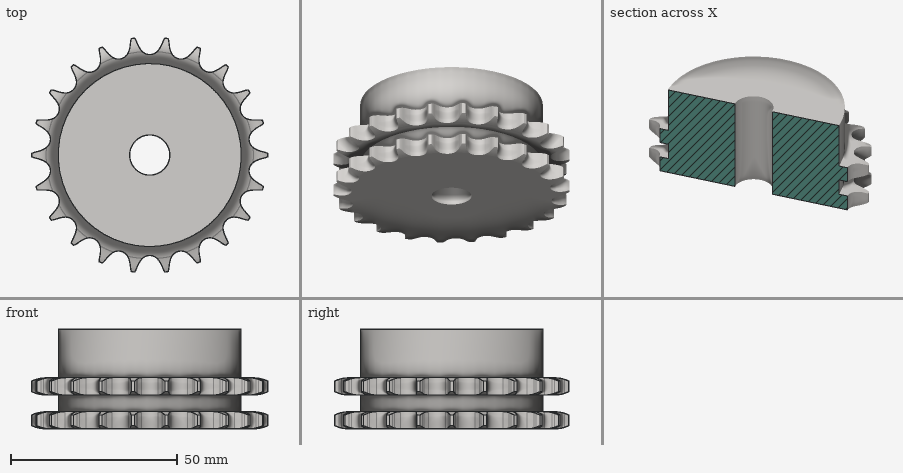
import cadquery as cq
import math


chain_pitch = 9.525
roller_diameter = 6.35
row_spacing = 10.2
row_count = 2

tooth_count = 22
outer_diameter = 71.0
plate_thickness = 5.2
hub_diameter = 55.0
bore_diameter = 12.0
total_height = 30.0

relief_start_radius = 31.15
relief_radius = 10.0

inch = 25.4
form_clearance = 0.0015 * inch
seat_radius = 0.5025 * roller_diameter + form_clearance
working_radius = 1.3025 * roller_diameter + form_clearance
seat_angle = math.radians(35 + 60 / tooth_count)
working_angle = math.radians(18 - 56 / tooth_count)
tip_angle = math.radians(17 - 64 / tooth_count)
flank_length = roller_diameter * (1.4 * math.sin(tip_angle) - 0.8 * math.sin(working_angle))
tip_reach = 0.8 * math.cos(working_angle) + 1.4 * math.cos(tip_angle)
tip_radius = roller_diameter * tip_reach - working_radius

half_tooth_angle = math.pi / tooth_count
pitch_radius = chain_pitch / (2 * math.sin(half_tooth_angle))
outer_radius = outer_diameter / 2


def on_arc(center, radius, angle):
    """Point on a circle, with the angle measured from +X."""
    return (center[0] + radius * math.cos(angle), center[1] + radius * math.sin(angle))


def mirrored(point):
    """Reflect a point in the centre line of the gap, which lies along X."""
    return (point[0], -point[1])


def tooth_gap():
    """Cutter for the gap centred on +X, reaching past the tooth tips."""
    seat_normal = math.pi / 2 + seat_angle
    flank_normal = seat_normal - working_angle

    seat_center = (pitch_radius, 0)
    seat_bottom = (pitch_radius - seat_radius, 0)
    seat_end = on_arc(seat_center, seat_radius, seat_normal)
    working_center = on_arc(seat_end, -working_radius, seat_normal)
    working_mid = on_arc(working_center, working_radius, (seat_normal + flank_normal) / 2)
    working_end = on_arc(working_center, working_radius, flank_normal)
    flank_end = on_arc(working_end, flank_length, flank_normal - math.pi / 2)

    tip_center = on_arc(flank_end, tip_radius, flank_normal)
    center_angle = math.atan2(tip_center[1], tip_center[0]) - half_tooth_angle
    center_distance = math.hypot(*tip_center)
    center_offset = center_distance * math.sin(center_angle)
    apex_radius = center_distance * math.cos(center_angle) + math.sqrt(tip_radius**2 - center_offset**2)
    apex = on_arc((0, 0), apex_radius, half_tooth_angle)
    apex_normal = math.atan2(apex[1] - tip_center[1], apex[0] - tip_center[0])
    tip_start_normal = flank_normal - math.pi
    tip_mid = on_arc(tip_center, tip_radius, (tip_start_normal + apex_normal) / 2)

    return (
        cq.Workplane("XY")
        .moveTo(*mirrored(apex))
        .threePointArc(mirrored(tip_mid), mirrored(flank_end))
        .lineTo(*mirrored(working_end))
        .threePointArc(mirrored(working_mid), mirrored(seat_end))
        .threePointArc(seat_bottom, seat_end)
        .threePointArc(working_mid, working_end)
        .lineTo(*flank_end)
        .threePointArc(tip_mid, apex)
        .close()
        .extrude(plate_thickness)
    )


def relief_depth(radius):
    """Axial depth of the side relief at a given distance from the axis."""
    return relief_radius - math.sqrt(relief_radius**2 - (radius - relief_start_radius) ** 2)


def plate_blank():
    """Disc whose rim is thinned by a tangent arc on both faces."""
    mid_radius = (relief_start_radius + outer_radius) / 2
    mid_depth = relief_depth(mid_radius)
    rim_depth = relief_depth(outer_radius)
    return (
        cq.Workplane("XZ")
        .lineTo(relief_start_radius, 0)
        .threePointArc((mid_radius, mid_depth), (outer_radius, rim_depth))
        .lineTo(outer_radius, plate_thickness - rim_depth)
        .threePointArc(
            (mid_radius, plate_thickness - mid_depth),
            (relief_start_radius, plate_thickness),
        )
        .lineTo(0, plate_thickness)
        .close()
        .revolve(360, (0, 0, 0), (0, 1, 0))
    )


def toothed_plate():
    """One plate, with the centre of a tooth on +X."""
    plate = plate_blank()
    gap = tooth_gap()
    tooth_step = 360 / tooth_count
    for index in range(tooth_count):
        gap_angle = (index + 0.5) * tooth_step
        plate = plate.cut(gap.rotate((0, 0, 0), (0, 0, 1), gap_angle))
    return plate


def sprocket():
    """Hub with the toothed plates stacked from its lower end, bored through."""
    body = cq.Workplane("XY").circle(hub_diameter / 2).extrude(total_height)
    plate = toothed_plate()
    for row in range(row_count):
        body = body.union(plate.translate((0, 0, row * row_spacing)))
    bore = cq.Workplane("XY").circle(bore_diameter / 2).extrude(total_height)
    return body.cut(bore)


result = sprocket()